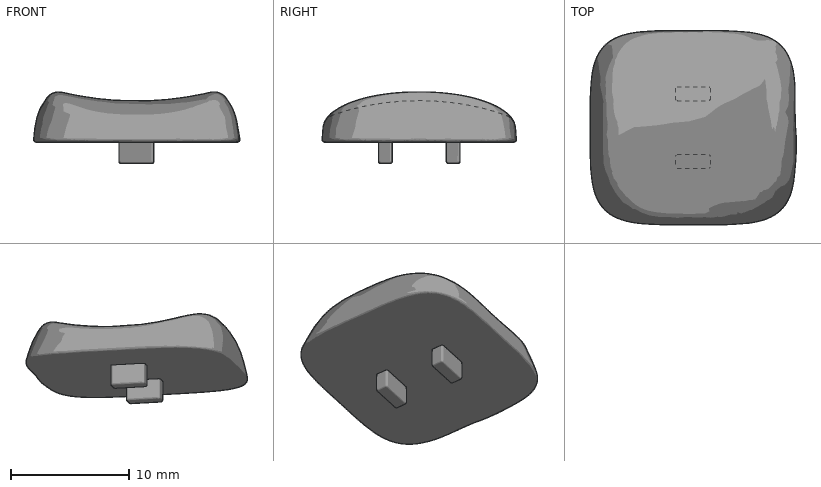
import cadquery as cq
import math

CAP_LENGTH = 17.47
CAP_WIDTH = 16.47
OUTLINE_POINTS = 32
SKIRT_SECTIONS = [
    (0.0, 0.0, 0.0, 4.6),
    (1.4, 0.15, 0.1, 3.6),
    (2.8, 0.56, 0.42, 3.1),
    (4.2, 1.5, 1.05, 2.9),
    (5.59, 2.8, 2.1, 2.8),
]
RIM_FILLET = 0.26

SADDLE_HEIGHT = 3.51
HOLLOW_RADIUS = 27.08
ARCH_RADIUS = 22.71
TOP_FILLET = 1.25
CUTTER_OVERHANG = 1.75
CUTTER_DEPTH = 8.74

LEG_LENGTH = 2.97
LEG_THICKNESS = 1.17
LEG_DEPTH = 1.8
LEG_OFFSET = 2.87
LEG_FILLET = 0.2
LEG_OVERLAP = 0.87


def signed_power(value, exponent):
    return math.copysign(abs(value) ** exponent, value)


def skirt_section(height, inset_x, inset_y, exponent):
    """Closed superellipse wire at the given height."""
    half_x = CAP_LENGTH / 2 - inset_x
    half_y = CAP_WIDTH / 2 - inset_y
    points = []
    for i in range(OUTLINE_POINTS):
        angle = 2 * math.pi * i / OUTLINE_POINTS
        x = half_x * signed_power(math.cos(angle), 2 / exponent)
        y = half_y * signed_power(math.sin(angle), 2 / exponent)
        points.append(cq.Vector(x, y, height))
    return cq.Wire.assembleEdges([cq.Edge.makeSpline(points, periodic=True)])


def make_skirt():
    sections = [skirt_section(*section) for section in SKIRT_SECTIONS]
    return cq.Workplane(cq.Solid.makeLoft(sections))


def make_saddle_cutter():
    """Ring about an X-parallel axis whose inner face is the saddle surface."""
    half_length = CAP_LENGTH / 2 + CUTTER_OVERHANG
    rise = HOLLOW_RADIUS - math.sqrt(HOLLOW_RADIUS**2 - half_length**2)
    edge_height = SADDLE_HEIGHT + rise
    ring_height = edge_height + CUTTER_DEPTH
    axis_height = SADDLE_HEIGHT - ARCH_RADIUS
    return (
        cq.Workplane("XZ")
        .moveTo(-half_length, edge_height)
        .threePointArc((0, SADDLE_HEIGHT), (half_length, edge_height))
        .lineTo(half_length, ring_height)
        .lineTo(-half_length, ring_height)
        .close()
        .revolve(360, (0, axis_height), (1, axis_height))
    )


def make_leg(center_y):
    height = LEG_DEPTH + LEG_OVERLAP
    return (
        cq.Workplane("XY", origin=(0, center_y, -LEG_DEPTH))
        .rect(LEG_LENGTH, LEG_THICKNESS)
        .extrude(height)
        .edges("|Z or <Z")
        .fillet(LEG_FILLET)
    )


cap = make_skirt().cut(make_saddle_cutter())
cap = cap.edges(">Z").fillet(TOP_FILLET)
cap = cap.edges("<Z").fillet(RIM_FILLET)

result = cap
for side in (-1, 1):
    result = result.union(make_leg(side * LEG_OFFSET))